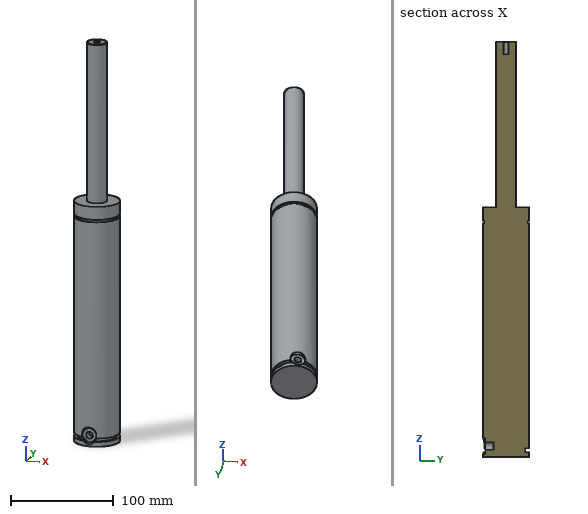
import cadquery as cq

total_height = 405.0
body_diameter = 45.0
body_height = 244.0
rod_diameter = 20.0
rod_chamfer = 0.6

foot_rim_height = 5.0
foot_groove_width = 3.5
foot_groove_depth = 3.2

cap_height = 13.5
cap_groove_width = 2.5
cap_groove_depth = 1.2

rod_hole_diameter = 5.0
rod_hole_mouth_diameter = 6.0
rod_hole_depth = 12.0

port_height = 11.0
port_mouth_diameter = 17.0
port_floor_diameter = 14.0
port_depth = 2.0
port_hole_diameter = 7.0
port_hole_depth = 8.0

body_radius = body_diameter / 2
rod_radius = rod_diameter / 2


def groove_corners(bottom, width, depth):
    """Corners, from the bottom up, of a square groove in the body side."""
    floor_radius = body_radius - depth
    return [
        (body_radius, bottom),
        (floor_radius, bottom),
        (floor_radius, bottom + width),
        (body_radius, bottom + width),
    ]


def revolve_about_z(profile):
    """Full turn of an (X, Z) half profile about the part axis."""
    return cq.Workplane("XZ").polyline(profile).close().revolve(360, (0, 0), (0, 1))


def make_cylinder_and_rod():
    """Revolve the half profile of the body, its two grooves and the rod."""
    cap_bottom = body_height - cap_height
    profile = [
        (0, 0),
        (body_radius, 0),
        *groove_corners(foot_rim_height, foot_groove_width, foot_groove_depth),
        *groove_corners(cap_bottom - cap_groove_width, cap_groove_width, cap_groove_depth),
        (body_radius, body_height),
        (rod_radius, body_height),
        (rod_radius, total_height - rod_chamfer),
        (rod_radius - rod_chamfer, total_height),
        (0, total_height),
    ]
    return revolve_about_z(profile)


def make_rod_hole():
    """Blind hole down the rod axis, with a 45 degree countersink."""
    hole_radius = rod_hole_diameter / 2
    mouth_radius = rod_hole_mouth_diameter / 2
    profile = [
        (0, total_height),
        (mouth_radius, total_height),
        (hole_radius, total_height - (mouth_radius - hole_radius)),
        (hole_radius, total_height - rod_hole_depth),
        (0, total_height - rod_hole_depth),
    ]
    return revolve_about_z(profile)


def make_port_plug():
    """Round plug that fills the foot groove behind the port floor."""
    plug = cq.Workplane("XZ").circle(port_floor_diameter / 2).extrude(body_radius - port_depth)
    return plug.translate((0, 0, port_height))


def make_port():
    """Tapered recess with a flat floor and a smaller blind hole in its centre."""
    floor_y = -body_radius + port_depth
    profile = [
        (0, -body_radius),
        (port_mouth_diameter / 2, -body_radius),
        (port_floor_diameter / 2, floor_y),
        (port_hole_diameter / 2, floor_y),
        (port_hole_diameter / 2, floor_y + port_hole_depth),
        (0, floor_y + port_hole_depth),
    ]
    port = cq.Workplane("XY").polyline(profile).close().revolve(360, (0, 0), (0, 1))
    return port.translate((0, 0, port_height))


result = (
    make_cylinder_and_rod()
    .union(make_port_plug())
    .cut(make_port())
    .cut(make_rod_hole())
)